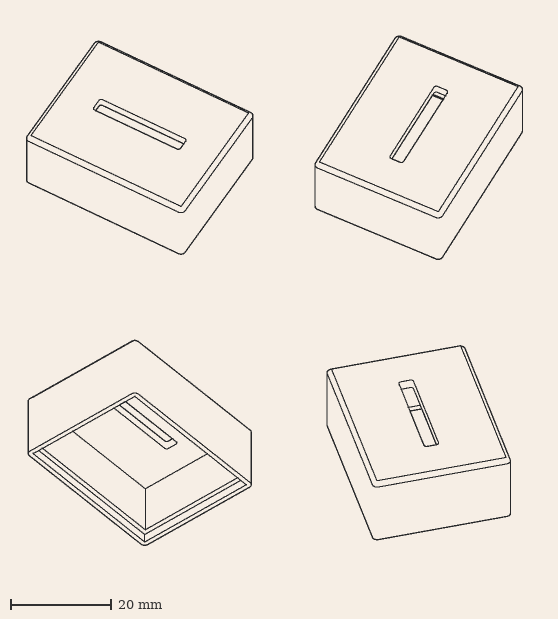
import cadquery as cq

length = 36.5
width = 28.5
height = 15.0
corner_radius = 1.0
top_chamfer = 0.9

wall = 2.0
roof = 2.0

rebate_depth = 2.0
rim_wall = wall / 2

slot_length = 20.0
slot_width = 3.0
slot_corner_radius = 0.5


def rounded_block(size_x, size_y, size_z, radius):
    """Upright block standing on Z = 0 with rounded vertical edges."""
    block = cq.Workplane("XY").rect(size_x, size_y).extrude(size_z)
    return block.edges("|Z").fillet(radius)


shell = rounded_block(length, width, height, corner_radius)
shell = shell.faces(">Z").chamfer(top_chamfer)

cavity = cq.Workplane("XY").rect(length - 2 * wall, width - 2 * wall).extrude(height - roof)
rebate = cq.Workplane("XY").rect(length - 2 * rim_wall, width - 2 * rim_wall).extrude(rebate_depth)
slot = rounded_block(slot_length, slot_width, height, slot_corner_radius)

result = shell.cut(cavity).cut(rebate).cut(slot)